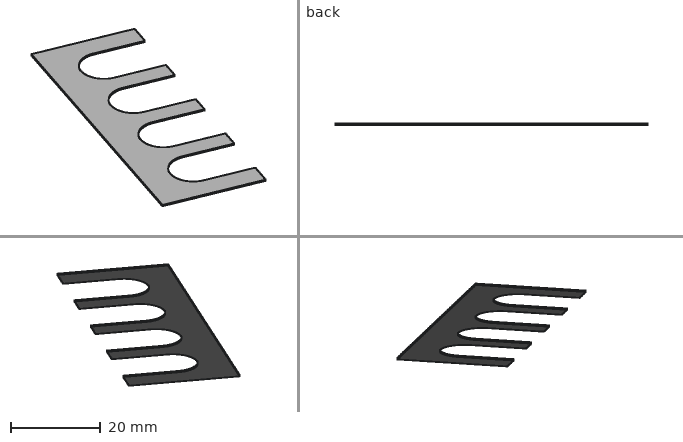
import cadquery as cq

length = 69.85
width = 25.4
thickness = 0.38

slot_count = 4
slot_pitch = 15.85
slot_width = 11.2
web_width = 7.1

slot_radius = slot_width / 2
slot_end_center_y = web_width + slot_radius - width / 2


def make_slot(center_x):
    """Slot cutter with a rounded inner end, open at the back edge (+Y)."""
    left = center_x - slot_radius
    right = center_x + slot_radius
    back = width / 2
    return (
        cq.Workplane("XY")
        .moveTo(left, back)
        .lineTo(left, slot_end_center_y)
        .threePointArc((center_x, slot_end_center_y - slot_radius), (right, slot_end_center_y))
        .lineTo(right, back)
        .close()
        .extrude(thickness)
    )


result = cq.Workplane("XY").box(length, width, thickness, centered=(True, True, False))
for index in range(slot_count):
    slot_x = (index - (slot_count - 1) / 2) * slot_pitch
    result = result.cut(make_slot(slot_x))